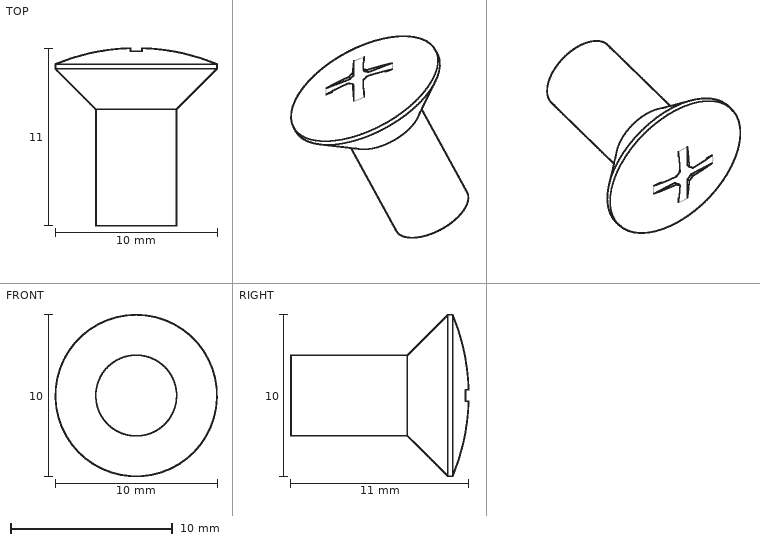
import cadquery as cq
import math

shank_diameter = 5.0
head_diameter = 2 * shank_diameter
nominal_length = 10.0
rim_height = 0.3
dome_height = 1.0

slot_width = 0.7
slot_depth = 0.2
core_diameter = 1.4

shank_radius = shank_diameter / 2
head_radius = head_diameter / 2
cone_height = head_radius - shank_radius
cone_top = nominal_length - rim_height
shank_length = cone_top - cone_height
overall_length = nominal_length + dome_height
dome_radius = (head_radius**2 + dome_height**2) / (2 * dome_height)


def make_body():
    """Revolve the half section (Y along the axis, Z outwards) about the Y axis."""
    dome_centre = overall_length - dome_radius
    mid_radius = head_radius / 2
    mid_height = dome_centre + math.sqrt(dome_radius**2 - mid_radius**2)
    return (
        cq.Workplane("YZ")
        .moveTo(0, 0)
        .lineTo(0, shank_radius)
        .lineTo(shank_length, shank_radius)
        .lineTo(cone_top, head_radius)
        .lineTo(nominal_length, head_radius)
        .threePointArc((mid_height, mid_radius), (overall_length, 0))
        .close()
        .revolve(360, (0, 0, 0), (1, 0, 0))
    )


def make_cross_recess():
    """Two crossing slots that run out through the dome, with a round core, on one flat floor."""
    slot_along_x = cq.Workplane("XY").box(head_diameter, slot_depth, slot_width)
    slot_along_z = cq.Workplane("XY").box(slot_width, slot_depth, head_diameter)
    core = cq.Workplane("XZ").circle(core_diameter / 2).extrude(slot_depth / 2, both=True)
    slot_centre = overall_length - slot_depth / 2
    return slot_along_x.union(slot_along_z).union(core).translate((0, slot_centre, 0))


result = make_body().cut(make_cross_recess())